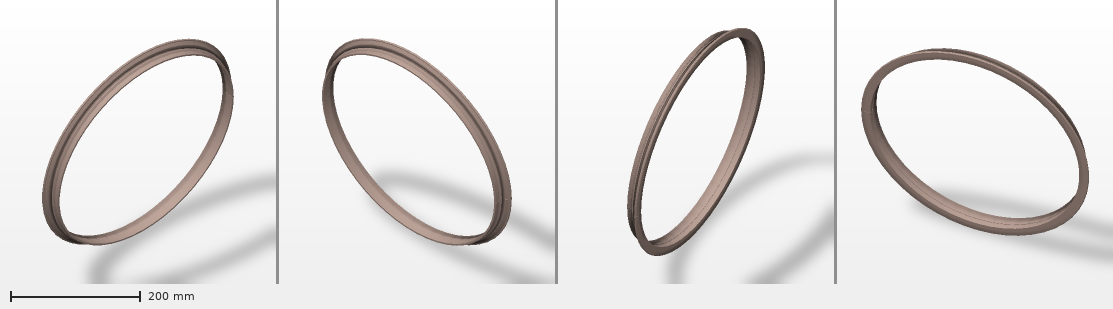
import cadquery as cq

width = 24.0
flange_radius = 190.0
sleeve_radius = 177.0

rim_front_drop = 1.0
rim_back_drop = 0.8
rim_crest = 1.5
rim_width = 3.5
shoulder_top_radius = 187.5
shoulder_bottom_radius = 182.5
shoulder_end = 7.0

neck_radius = 176.7
groove_end = 8.7
groove_depth = 0.5

rib_start = 12.0
rib_crest_width = 1.0
rib_end = 15.5
rib_radius = 179.5
step_end = 17.0

end_bevel_width = 1.0
end_bevel_height = 0.5

bore_radius = 174.5
bore_step_height = 0.8
bore_step = 9.0
end_bore_radius = bore_radius - bore_step_height

split_gap = 0.5

flange_outline = [
    (0, bore_radius),
    (0, flange_radius - rim_front_drop),
    (rim_crest, flange_radius),
    (rim_width, flange_radius - rim_back_drop),
    (rim_width, shoulder_top_radius),
    (shoulder_end, shoulder_bottom_radius),
]

sleeve_outline = [
    (shoulder_end, neck_radius - groove_depth),
    (groove_end, neck_radius - groove_depth),
    (groove_end, neck_radius),
    (rib_start, neck_radius),
    (rib_start, rib_radius),
    (rib_start + rib_crest_width, rib_radius),
    (rib_end, neck_radius),
    (step_end, neck_radius),
    (step_end, sleeve_radius),
    (width - end_bevel_width, sleeve_radius),
    (width, sleeve_radius - end_bevel_height),
]

bore_outline = [
    (width, end_bore_radius),
    (bore_step, end_bore_radius),
    (bore_step, bore_radius),
]

ring = (
    cq.Workplane("XY")
    .polyline(flange_outline + sleeve_outline + bore_outline)
    .close()
    .revolve(360, (0, 0, 0), (1, 0, 0))
)

split_cutter = cq.Workplane("XY").box(
    width, 2 * flange_radius, split_gap, centered=(False, False, True)
)

result = ring.cut(split_cutter)